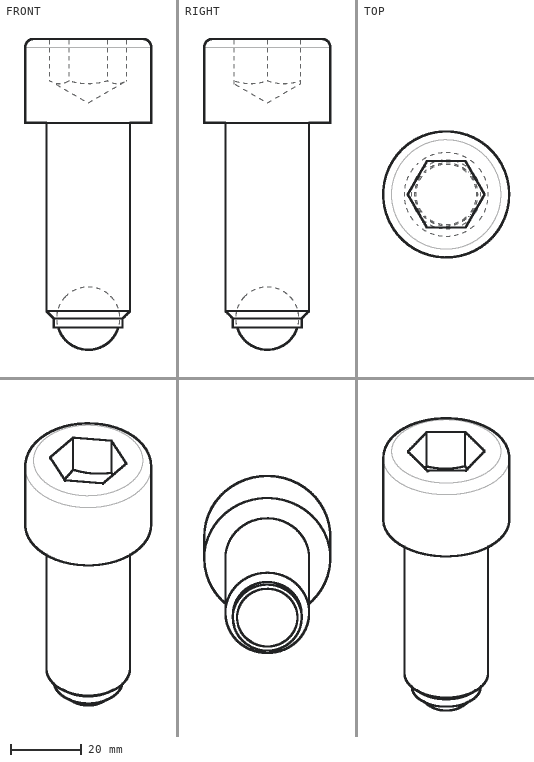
import cadquery as cq
import math

total_length = 88.7
head_height = 23.95
ball_projection = 6.4
neck_height = 2.6

head_diameter = 36.0
shank_diameter = 23.95
neck_diameter = 19.7
ball_diameter = 18.0
head_fillet = 2.4
shank_chamfer = (shank_diameter - neck_diameter) / 2

hex_across_flats = 19.0
hex_corner_depth = 12.0
cone_angle = 120.0
hex_across_corners = hex_across_flats / math.cos(math.radians(30))
cone_height = hex_across_corners / 2 / math.tan(math.radians(cone_angle / 2))

head_underside = total_length - head_height
shank_end = ball_projection + neck_height
ball_center_height = ball_diameter / 2


def cylinder(diameter, bottom, top):
    """Solid cylinder on the Z axis between two heights."""
    return cq.Workplane("XY").workplane(offset=bottom).circle(diameter / 2).extrude(top - bottom)


def make_ball():
    """Thrust ball resting with its lowest point at Z = 0."""
    return cq.Workplane("XY").sphere(ball_diameter / 2).translate((0, 0, ball_center_height))


def make_hex_socket():
    """Hexagonal prism ending in a cone that starts at the hexagon corners."""
    corner_level = total_length - hex_corner_depth
    cone_tip = corner_level - cone_height
    prism = (
        cq.Workplane("XY")
        .workplane(offset=cone_tip)
        .polygon(6, hex_across_corners)
        .extrude(total_length - cone_tip)
    )
    drilled_bore = (
        cq.Workplane("XZ")
        .moveTo(0, cone_tip)
        .lineTo(hex_across_corners / 2, corner_level)
        .lineTo(hex_across_corners / 2, total_length)
        .lineTo(0, total_length)
        .close()
        .revolve(360, (0, 0, 0), (0, 1, 0))
    )
    return prism.intersect(drilled_bore)


def make_screw():
    """Socket head screw with a stepped end that holds the ball."""
    head = cylinder(head_diameter, head_underside, total_length).faces(">Z").edges().fillet(head_fillet)
    shank = cylinder(shank_diameter, shank_end, head_underside).faces("<Z").edges().chamfer(shank_chamfer)
    neck = cylinder(neck_diameter, ball_projection, shank_end)
    return head.union(shank).union(neck).cut(make_hex_socket()).cut(make_ball())


screw = make_screw()
ball = make_ball()

result = cq.Compound.makeCompound([screw.solids().val(), ball.val()])